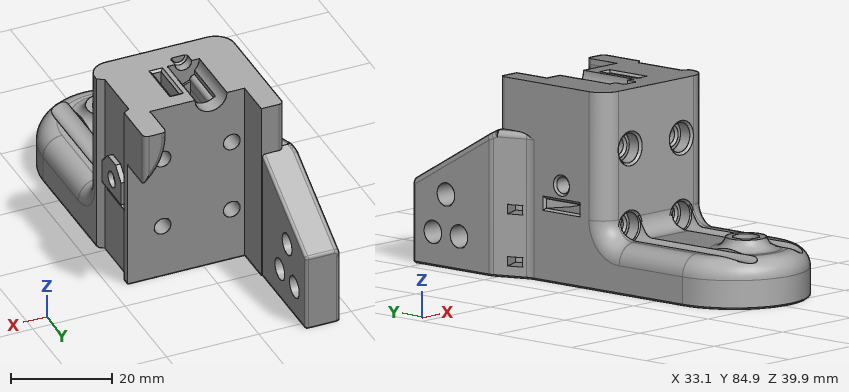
import cadquery as cq
import math

half_width = 15.1
height = 39.9
round_radius = 4.1
bottom_chamfer = 0.4
margin = 0.01

block_front = 21.0
block_rear = 40.8
leg_rear = 48.9
leg_inner = 10.25
leg_round = 1.0
leg_arc_radius = 13.0
leg_arc_drop = 1.2

foot_height = 10.0
corner_radius = 4.0
boss_y = -3.2
boss_radius = 4.0
boss_flare = 3.0
boss_height = 2.3
boss_hole_diameter = 5.4

screw_spacing_x = 15.0
screw_heights = (12.0, 27.9)
screw_diameter = 3.6
screw_edge_chamfer = 0.5
head_diameter = 6.0
head_depth = 3.0

tab_outer = -18.0
tab_inner = -10.5
tab_rear = 69.8
tab_rear_height = 16.9
tab_height = 29.4
tab_slope = math.tan(math.radians(30))
tab_round = 1.2
tab_rear_round = 0.8
tab_inner_round = 0.6
wedge_start = 48.7
wedge_angle = math.radians(20)
wedge_crest_round = 3.0
wedge_foot_round = 5.0
tab_hole_diameter = 4.7
tab_hole_y = 60.8
tab_hole_spacing = 7.0
tab_hole_low = 6.9
tab_hole_high = 14.9
pocket_y = 43.9
pocket_length = 3.0
pocket_height = 1.9
pocket_depth = 4.0
pocket_heights = (3.3, 13.8)

tie_y = 32.45
tie_width = 9.0
tie_thickness = 1.9
tie_mouth_chamfer = 0.5
side_slot_z = 15.8
side_slot_sag = 1.05
loop_radius = 3.2
loop_x = -0.2
loop_centre_z = 33.5
outer_flare = 1.05
inner_flare = 1.75

channel_x = -3.0
channel_radius = 3.45
channel_front = tie_y - tie_width / 2 - tie_mouth_chamfer
lead_radius = 1.8
lead_length = 2.45
lead_end_chamfer = 0.4

recess_floor = 13.7
recess_width = 11.5
recess_flank = 0.95
pin_diameter = 3.4
pin_z = 20.0
pin_chamfer = 0.45
pad_width = 9.1
pad_thickness = 1.1
pad_bottom = side_slot_z + tie_thickness / 2


def box(x0, x1, y0, y1, z0, z1):
    """Box between two opposite corners."""
    return cq.Workplane("XY").box(x1 - x0, y1 - y0, z1 - z0, centered=False).translate((x0, y0, z0))


def cylinder(diameter, start, direction, length):
    """Cylinder from a start point along a direction."""
    base = cq.Vector(*start)
    axis = cq.Vector(*direction)
    return cq.Workplane(cq.Solid.makeCylinder(diameter / 2, length, base, axis))


def cone(start_diameter, end_diameter, start, direction, length):
    """Cone used to chamfer the rim of a hole."""
    base = cq.Vector(*start)
    axis = cq.Vector(*direction)
    return cq.Workplane(cq.Solid.makeCone(start_diameter / 2, end_diameter / 2, length, base, axis))


def make_foot_and_block():
    """L-shaped body with a round foot end and one continuous rounded rim."""
    side = (
        cq.Workplane("YZ")
        .moveTo(-half_width, 0)
        .lineTo(block_rear, 0)
        .lineTo(block_rear, height)
        .lineTo(block_front, height)
        .lineTo(block_front, foot_height + corner_radius)
        .radiusArc((block_front - corner_radius, foot_height), corner_radius)
        .lineTo(-half_width, foot_height)
        .close()
        .extrude(half_width, both=True)
    )
    plan = (
        cq.Workplane("XY")
        .moveTo(-half_width, block_rear)
        .lineTo(-half_width, 0)
        .threePointArc((0, -half_width), (half_width, 0))
        .lineTo(half_width, block_rear)
        .close()
        .extrude(height)
    )
    rim = cq.selectors.BoxSelector(
        (-2 * half_width, -2 * half_width, foot_height - margin),
        (2 * half_width, block_front + margin, height - margin),
    )
    return side.intersect(plan).edges("not |X").edges(rim).fillet(round_radius)


def make_legs():
    """Two rear legs; the one away from the tab is hollowed out underneath."""
    left = box(-half_width, -leg_inner, block_rear, leg_rear, 0, height)
    arc_z = height - leg_arc_drop
    arc_angle = math.acos(1 - (half_width - leg_inner) / leg_arc_radius)
    tip_z = arc_z - leg_arc_radius * math.sin(arc_angle)
    right = (
        cq.Workplane("XZ", origin=(0, leg_rear, 0))
        .moveTo(leg_inner, height)
        .lineTo(leg_inner, arc_z)
        .radiusArc((half_width, tip_z), -leg_arc_radius)
        .lineTo(half_width, height)
        .close()
        .extrude(leg_rear - block_rear)
    )
    left = left.edges("|Z and >Y and <X").fillet(leg_round)
    right = right.edges("|Z and >Y").fillet(leg_round)
    return left, right


def make_tab():
    """Side plate with a sloping top and a wedge that blends into the block side."""
    wedge_end = wedge_start - (-half_width - tab_outer) / math.tan(wedge_angle)
    embed = 4.0
    plate = (
        cq.Workplane("XY")
        .polyline([
            (tab_inner, tab_rear),
            (tab_outer, tab_rear),
            (tab_outer, wedge_start),
            (-half_width, wedge_end),
            (-half_width, wedge_end - embed),
            (tab_inner, wedge_end - embed),
        ])
        .close()
        .extrude(tab_height)
    )
    slope_end = tab_rear - (tab_height - tab_rear_height) / tab_slope
    above_slope = (
        cq.Workplane("YZ")
        .polyline([(tab_rear, tab_rear_height), (tab_rear, tab_height), (slope_end, tab_height)])
        .close()
        .extrude(tab_outer)
    )
    crest = cq.selectors.NearestToPointSelector((tab_outer, wedge_start, tab_height / 2))
    foot = cq.selectors.NearestToPointSelector((-half_width, wedge_end, tab_height / 2))
    plate = plate.edges("|Z").edges(crest).fillet(wedge_crest_round)
    plate = plate.edges("|Z").edges(foot).fillet(wedge_foot_round)
    tab = plate.cut(above_slope)
    top_outer_edges = cq.selectors.BoxSelector(
        (tab_outer - margin, wedge_end - wedge_foot_round, tab_rear_height),
        (-half_width - margin, tab_rear - margin, tab_height + margin),
    )
    tab = tab.edges("not |Z").edges("not |X").edges(top_outer_edges).fillet(tab_round)
    tab = tab.faces("<X").edges(">Y").fillet(tab_rear_round)
    slope_middle = ((tab_rear + slope_end) / 2, (tab_rear_height + tab_height) / 2)
    inner_edge = cq.selectors.NearestToPointSelector((tab_inner, *slope_middle))
    return tab.edges(inner_edge).fillet(tab_inner_round)


def make_boss():
    """Boss whose concave flare runs out onto the foot, trimmed flush with the two troughs."""
    trough_drop = screw_heights[0] - foot_height
    half_land = screw_spacing_x / 2 - math.sqrt((head_diameter / 2)**2 - trough_drop**2)
    base_radius = boss_radius + boss_flare
    gap = boss_flare - boss_height
    top_radius = base_radius - math.sqrt(boss_flare**2 - gap**2)
    sink = 0.5
    boss = (
        cq.Workplane("XZ", origin=(0, boss_y, foot_height))
        .moveTo(0, -sink)
        .lineTo(base_radius, -sink)
        .lineTo(base_radius, 0)
        .radiusArc((top_radius, boss_height), boss_flare)
        .lineTo(0, boss_height)
        .close()
        .revolve(360, (0, 0, 0), (0, 1, 0))
    )
    land = box(-half_land, half_land, boss_y - base_radius, boss_y + base_radius,
               foot_height - sink, foot_height + boss_height)
    return boss.intersect(land)


def screw_cutters():
    """Four counterbored holes; the lower head bores run on as troughs over the foot."""
    rim_diameter = head_diameter + 2 * screw_edge_chamfer
    neck_diameter = screw_diameter + 2 * screw_edge_chamfer
    seat = block_front + head_depth
    along_y = (0, 1, 0)
    cutters = []
    for x in (-screw_spacing_x / 2, screw_spacing_x / 2):
        for z in screw_heights:
            head_start = -half_width if z == min(screw_heights) else block_front
            face = (x, block_front, z)
            cutters.append(cylinder(screw_diameter, face, along_y, block_rear - block_front))
            cutters.append(cylinder(head_diameter, (x, head_start, z), along_y, seat - head_start))
            cutters.append(cone(rim_diameter, head_diameter, face, along_y, screw_edge_chamfer))
            cutters.append(cone(neck_diameter, screw_diameter, (x, seat, z), along_y, screw_edge_chamfer))
    return cutters


def tab_cutters():
    """Three round holes through the tab and two small slanting pockets in the wedge."""
    cutters = []
    for y, z in (
        (tab_hole_y, tab_hole_high),
        (tab_hole_y - tab_hole_spacing / 2, tab_hole_low),
        (tab_hole_y + tab_hole_spacing / 2, tab_hole_low),
    ):
        cutters.append(cylinder(tab_hole_diameter, (tab_outer, y, z), (1, 0, 0), tab_inner - tab_outer))
    mouth_front = pocket_y - pocket_length / 2
    mouth_rear = pocket_y + pocket_length / 2
    shift = pocket_depth * math.tan(wedge_angle)
    front_x = tab_outer + (wedge_start - mouth_front) * math.tan(wedge_angle)
    rear_x = tab_outer + (wedge_start - mouth_rear) * math.tan(wedge_angle)
    for z in pocket_heights:
        pocket = (
            cq.Workplane("XY", origin=(0, 0, z - pocket_height / 2))
            .polyline([
                (tab_outer, mouth_front),
                (front_x, mouth_front),
                (front_x + pocket_depth, mouth_front + shift),
                (rear_x + pocket_depth, mouth_rear + shift),
                (rear_x, mouth_rear),
                (tab_outer, mouth_rear),
            ])
            .close()
            .extrude(pocket_height)
        )
        cutters.append(pocket)
    return cutters


def channel_cutters():
    """Half-round cable channel open to the rear, with a narrower lead at its front end."""
    lead_end = channel_front - lead_length + lead_end_chamfer
    wide = cylinder(
        2 * channel_radius, (channel_x, channel_front, height), (0, 1, 0), block_rear - channel_front
    )
    lead = cylinder(2 * lead_radius, (channel_x, lead_end, height), (0, 1, 0), channel_front - lead_end)
    tip = cone(
        2 * lead_radius, 2 * (lead_radius - lead_end_chamfer),
        (channel_x, lead_end, height), (0, -1, 0), lead_end_chamfer,
    )
    return [wide, lead, tip]


def mouth(centre, direction, x_direction):
    """Chamfered opening of a tie slot, tapering inwards from the surface."""
    plane = cq.Plane(origin=centre, xDir=x_direction, normal=direction)
    return (
        cq.Workplane(plane)
        .rect(tie_width + 2 * tie_mouth_chamfer, tie_thickness + 2 * tie_mouth_chamfer)
        .workplane(offset=tie_mouth_chamfer)
        .rect(tie_width, tie_thickness)
        .loft()
    )


def tie_loop_cutters():
    """U-shaped tie tunnel from the top face, under the channel wall, into the channel floor."""
    inner = loop_radius - tie_thickness / 2
    outer = loop_radius + tie_thickness / 2
    floor_z = height - channel_radius
    tunnel = (
        cq.Workplane("XZ", origin=(loop_x, tie_y + tie_width / 2, 0))
        .moveTo(outer, height)
        .lineTo(outer, loop_centre_z)
        .threePointArc((0, loop_centre_z - outer), (-outer, loop_centre_z))
        .lineTo(-outer, floor_z)
        .lineTo(-inner, floor_z)
        .lineTo(-inner, loop_centre_z)
        .threePointArc((0, loop_centre_z - inner), (inner, loop_centre_z))
        .lineTo(inner, height)
        .close()
        .extrude(tie_width)
    )
    flared_mouth = (
        cq.Workplane("XZ", origin=(loop_x, tie_y + tie_width / 2 + tie_mouth_chamfer, 0))
        .moveTo(-outer, floor_z - outer_flare)
        .radiusArc((-outer - outer_flare, floor_z), -outer_flare)
        .lineTo(-outer - outer_flare, height)
        .lineTo(-inner + inner_flare, height)
        .lineTo(-inner + inner_flare, floor_z)
        .radiusArc((-inner, floor_z - inner_flare), -inner_flare)
        .close()
        .extrude(tie_width + 2 * tie_mouth_chamfer)
    )
    return [tunnel, flared_mouth, mouth((loop_x + loop_radius, tie_y, height), (0, 0, -1), (0, 1, 0))]


def side_cutters():
    """Full-height recess in the +X side, and the tie slot and pin hole that run through to it."""
    half_floor = recess_width / 2
    half_open = half_floor + recess_flank
    recess = (
        cq.Workplane("XY")
        .polyline([
            (recess_floor, tie_y - half_floor),
            (half_width, tie_y - half_open),
            (half_width, tie_y + half_open),
            (recess_floor, tie_y + half_floor),
        ])
        .close()
        .extrude(height)
    )
    slot_top = side_slot_z + tie_thickness / 2
    slot_bottom = side_slot_z - tie_thickness / 2
    slot = (
        cq.Workplane("XZ", origin=(0, tie_y + tie_width / 2, 0))
        .moveTo(-half_width, slot_top)
        .threePointArc((0, slot_top - side_slot_sag), (half_width, slot_top))
        .lineTo(half_width, slot_bottom)
        .threePointArc((0, slot_bottom - side_slot_sag), (-half_width, slot_bottom))
        .close()
        .extrude(tie_width)
    )
    pin_start = (-half_width, tie_y, pin_z)
    rim_diameter = pin_diameter + 2 * pin_chamfer
    pin_hole = cylinder(pin_diameter, pin_start, (1, 0, 0), 2 * half_width)
    pin_rim = cone(rim_diameter, pin_diameter, pin_start, (1, 0, 0), pin_chamfer)
    return [recess, slot, mouth((-half_width, tie_y, side_slot_z), (1, 0, 0), (0, 1, 0)), pin_hole, pin_rim]


def make_housing():
    """Foot, block, legs and tab as one solid with all its openings."""
    housing = make_foot_and_block()
    for addition in (*make_legs(), make_tab()):
        housing = housing.union(addition)
    housing = housing.faces("<Z").edges().chamfer(bottom_chamfer)
    cutters = [*screw_cutters(), *tab_cutters(), *channel_cutters(), *tie_loop_cutters(), *side_cutters()]
    for cutter in cutters:
        housing = housing.cut(cutter)
    boss_hole = cylinder(boss_hole_diameter, (0, boss_y, 0), (0, 0, 1), foot_height + boss_height)
    housing = housing.union(make_boss()).cut(boss_hole)
    return housing


def make_pad():
    """Flat pad on the recess floor: straight sides, two 45 degree top corners, pin hole."""
    half_pad = pad_width / 2
    corner = pad_width / (2 + math.sqrt(2))
    plate = (
        cq.Workplane("YZ", origin=(recess_floor, tie_y, 0))
        .polyline([
            (-half_pad, pad_bottom),
            (half_pad, pad_bottom),
            (half_pad, pin_z + half_pad - corner),
            (half_pad - corner, pin_z + half_pad),
            (corner - half_pad, pin_z + half_pad),
            (-half_pad, pin_z + half_pad - corner),
        ])
        .close()
        .extrude(pad_thickness)
    )
    return plate.cut(cylinder(pin_diameter, (recess_floor, tie_y, pin_z), (1, 0, 0), pad_thickness))


housing = make_housing()
pad = make_pad()
result = cq.Compound.makeCompound([housing.val(), pad.val()])